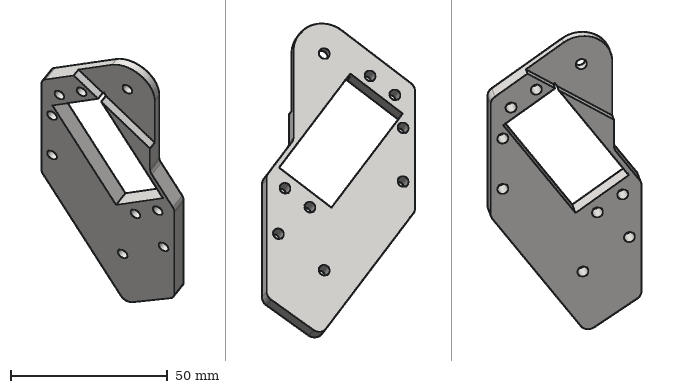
import cadquery as cq
import math

width = 49.0
height = 104.0
thickness = 6.0
corner_radius = 3.2

tilt = 34.9

tab_radius = 10.1
tab_center_x = 30.0
tab_right = tab_center_x + tab_radius
tab_center_z = height - tab_radius
tab_thickness = thickness / 2
step_right_z = 74.6
step_angle = 34.2

left_lower_z = 43.3
right_upper_z = 51.2

bottom_angle = 33.0

window_center = (24.4, 65.0)
window_width = 21.0
window_length = 41.0

hole_diameter = 3.5
window_hole_center = (24.8, 64.7)
window_hole_pitch = 10.0
window_hole_span = 49.0
lower_hole_z = 20.9
left_hole_x = 4.0
left_hole_heights = (52.9, 71.0)
right_hole = (45.0, 31.9)


def slope(angle):
    """Rise per unit of run for an angle in degrees."""
    return math.tan(math.radians(angle))


def facing_front(back_y):
    """XZ workplane at Y = back_y; extrusions run from it toward the front (-Y)."""
    return cq.Workplane("XZ", origin=(0, back_y, 0))


def make_plate():
    steep = slope(90 - tilt)

    tangent_x = tab_center_x - tab_radius * math.sin(math.radians(tilt))
    tangent_z = tab_center_z + tab_radius * math.cos(math.radians(tilt))
    left_upper_z = tangent_z - tangent_x * slope(tilt)

    middle_angle = math.radians((90 + tilt) / 2)
    arc_middle = (
        tab_center_x + tab_radius * math.cos(middle_angle),
        tab_center_z + tab_radius * math.sin(middle_angle),
    )

    rise = slope(bottom_angle)
    round_x = (left_lower_z + corner_radius * (math.hypot(1, steep) - 1)) / steep
    right_lower_z = (width - round_x) * rise - corner_radius * (math.hypot(1, rise) - 1)
    bottom_x = (left_lower_z - right_lower_z + width * rise) / (steep + rise)
    bottom_z = left_lower_z - bottom_x * steep

    neck_z = right_upper_z + (width - tab_right) * steep
    plate = (
        facing_front(thickness)
        .moveTo(0, left_lower_z)
        .lineTo(0, left_upper_z)
        .lineTo(tangent_x, tangent_z)
        .threePointArc(arc_middle, (tab_right, tab_center_z))
        .lineTo(tab_right, neck_z)
        .lineTo(width, right_upper_z)
        .lineTo(width, right_lower_z)
        .lineTo(bottom_x, bottom_z)
        .close()
        .extrude(thickness)
    )
    rounded_corners = (
        (0, left_lower_z),
        (0, left_upper_z),
        (tab_right, neck_z),
        (width, right_upper_z),
        (width, right_lower_z),
        (bottom_x, bottom_z),
    )
    for x, z in rounded_corners:
        corner_edge = cq.selectors.NearestToPointSelector((x, thickness / 2, z))
        plate = plate.edges("|Y").edges(corner_edge).fillet(corner_radius)
    return plate


def make_step_cutter():
    """Material in front of the tab, above the sloped step."""
    left_x = tab_right - width
    step_left_z = step_right_z + width * slope(step_angle)
    return (
        facing_front(thickness - tab_thickness)
        .moveTo(tab_right, step_right_z)
        .lineTo(tab_right, height)
        .lineTo(left_x, height)
        .lineTo(left_x, step_left_z)
        .close()
        .extrude(thickness - tab_thickness)
    )


def make_window_cutter():
    return (
        facing_front(thickness)
        .center(*window_center)
        .transformed(rotate=(0, 0, tilt))
        .rect(window_width, window_length)
        .extrude(thickness)
    )


def make_window_hole_cutter():
    """Four holes beyond the short ends of the window."""
    return (
        facing_front(thickness)
        .center(*window_hole_center)
        .transformed(rotate=(0, 0, tilt))
        .rect(window_hole_pitch, window_hole_span, forConstruction=True)
        .vertices()
        .circle(hole_diameter / 2)
        .extrude(thickness)
    )


def make_mounting_hole_cutter():
    centers = [(tab_center_x, tab_center_z), (tab_center_x, lower_hole_z), right_hole]
    centers += [(left_hole_x, z) for z in left_hole_heights]
    return facing_front(thickness).pushPoints(centers).circle(hole_diameter / 2).extrude(thickness)


result = (
    make_plate()
    .cut(make_step_cutter())
    .cut(make_window_cutter())
    .cut(make_window_hole_cutter())
    .cut(make_mounting_hole_cutter())
)